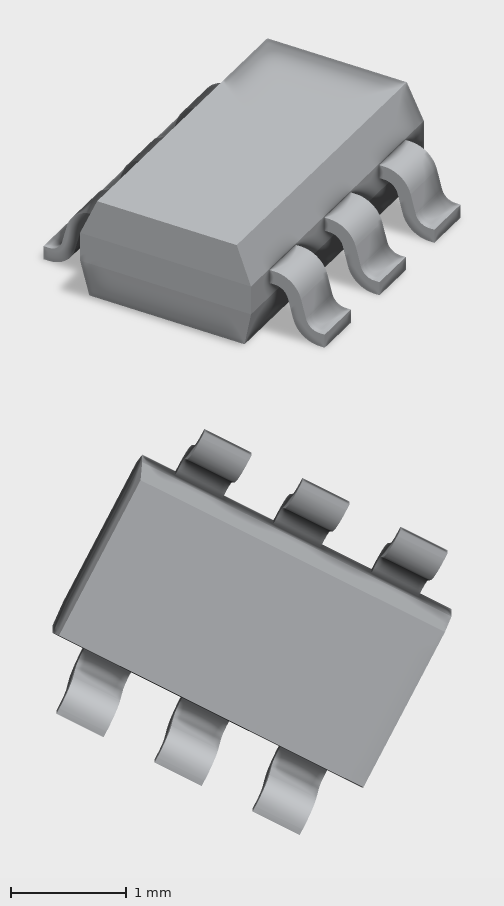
import cadquery as cq
import math

package_length = 3.0
package_width = 1.7
package_height = 1.0
lead_span = 2.8

belt_bottom = 0.348
belt_top = 0.635
top_inset_x = 0.155
bottom_inset_x = 0.078
end_inset_y = 0.025

leads_per_side = 3
lead_pitch = 0.95
lead_width = 0.455
lead_thickness = 0.135
lead_top = 0.625
foot_flat = 0.055
leg_slant = math.radians(15)
inner_bend = lead_thickness
outer_bend = inner_bend + lead_thickness

marker_diameter = 0.085
marker_depth = 0.015
marker_x = -0.525
marker_y = lead_pitch


def tapered_half(z_wide, z_narrow, inset_x):
    """Frustum from the full belt outline at z_wide to the inset outline at z_narrow."""
    return (
        cq.Workplane("XY", origin=(0, 0, z_wide))
        .rect(package_width, package_length)
        .workplane(offset=z_narrow - z_wide)
        .rect(package_width - 2 * inset_x, package_length - 2 * end_inset_y)
        .loft(ruled=True)
    )


def make_marker():
    return (
        cq.Workplane("XY", origin=(marker_x, marker_y, package_height))
        .circle(marker_diameter / 2)
        .extrude(-marker_depth)
    )


def make_housing():
    belt = (
        cq.Workplane("XY", origin=(0, 0, belt_bottom))
        .rect(package_width, package_length)
        .extrude(belt_top - belt_bottom)
    )
    upper_half = tapered_half(belt_top, package_height, top_inset_x)
    lower_half = tapered_half(belt_bottom, 0, bottom_inset_x)
    return belt.union(upper_half).union(lower_half).cut(make_marker())


def point_on_bend(center, radius, angle):
    return (center[0] + radius * math.cos(angle), center[1] + radius * math.sin(angle))


def make_lead(side, y_center):
    """Lead on the +X (side = 1) or -X (side = -1) wall, centred at y_center."""
    wall_x = package_width / 2
    tip_x = lead_span / 2

    foot_center = (tip_x - foot_flat, lead_thickness + inner_bend)
    shoulder_z = lead_top - outer_bend
    center_rise = shoulder_z - foot_center[1]
    center_run = (inner_bend + outer_bend + center_rise * math.sin(leg_slant)) / math.cos(leg_slant)
    shoulder_center = (foot_center[0] - center_run, shoulder_z)

    shoulder_leg = leg_slant
    shoulder_flat = math.pi / 2
    shoulder_middle = (shoulder_leg + shoulder_flat) / 2
    foot_leg = shoulder_leg + math.pi
    foot_end = shoulder_flat + math.pi
    foot_middle = (foot_leg + foot_end) / 2

    profile = (
        cq.Workplane("XZ", origin=(0, y_center, 0))
        .moveTo(wall_x, lead_top)
        .lineTo(*point_on_bend(shoulder_center, outer_bend, shoulder_flat))
        .threePointArc(
            point_on_bend(shoulder_center, outer_bend, shoulder_middle),
            point_on_bend(shoulder_center, outer_bend, shoulder_leg),
        )
        .lineTo(*point_on_bend(foot_center, inner_bend, foot_leg))
        .threePointArc(
            point_on_bend(foot_center, inner_bend, foot_middle),
            point_on_bend(foot_center, inner_bend, foot_end),
        )
        .lineTo(tip_x, lead_thickness)
        .lineTo(tip_x, 0)
        .lineTo(*point_on_bend(foot_center, outer_bend, foot_end))
        .threePointArc(
            point_on_bend(foot_center, outer_bend, foot_middle),
            point_on_bend(foot_center, outer_bend, foot_leg),
        )
        .lineTo(*point_on_bend(shoulder_center, inner_bend, shoulder_leg))
        .threePointArc(
            point_on_bend(shoulder_center, inner_bend, shoulder_middle),
            point_on_bend(shoulder_center, inner_bend, shoulder_flat),
        )
        .lineTo(wall_x, lead_top - lead_thickness)
        .close()
    )
    lead = profile.extrude(lead_width / 2, both=True)
    return lead if side > 0 else lead.mirror("YZ")


housing = make_housing()
marker = make_marker()
leads = []
for side in (-1, 1):
    for index in range(leads_per_side):
        y_center = (index - (leads_per_side - 1) / 2) * lead_pitch
        leads.append(make_lead(side, y_center).val())

result = cq.Compound.makeCompound([housing.val(), marker.val(), *leads])